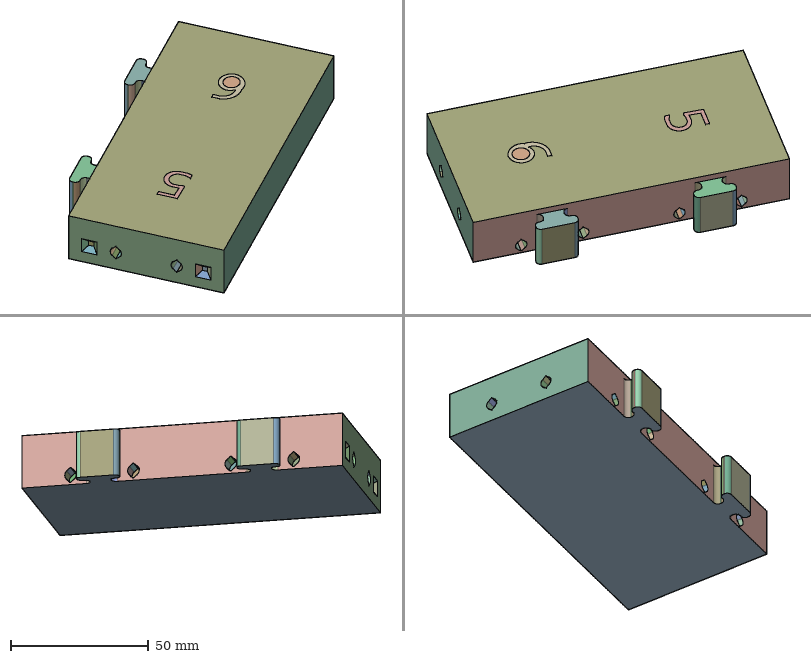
import cadquery as cq
import math

TILE_LENGTH = 120.0
TILE_WIDTH = TILE_LENGTH / 2
TILE_HEIGHT = TILE_LENGTH / 6
LEFT_FACE = -TILE_WIDTH / 2
FRONT_FACE = -TILE_LENGTH / 2
STATION = TILE_LENGTH / 4

CONNECTOR_REACH = TILE_LENGTH / 15
CONNECTOR_HEIGHT = 17.5
HEAD_HALF_WIDTH = CONNECTOR_REACH
HEAD_THICKNESS = CONNECTOR_REACH / 2
CORNER_RADIUS = 1.8
NECK_HALF_WIDTH = HEAD_HALF_WIDTH / 2

HOLE_RADIUS = 2.2
HOLE_PEAK = 2.9
HOLE_SPACING = 11.8
THROUGH_HOLE_Z = 7.7
BLIND_HOLE_Z = 3.7
BLIND_HOLE_DEPTH = 7.2

POCKET_MOUTH = 6.0
POCKET_FLOOR = POCKET_MOUTH / 3
POCKET_DEPTH = (POCKET_MOUTH - POCKET_FLOOR) / 2
POCKET_OFFSET = 22.0

INLAY_DEPTH = 1.0
DIGIT_SHIFT = 0.2


def rounded_post(length, width):
    """Post as tall as a connector, centred on the Z axis, with rounded upright corners."""
    post = cq.Workplane("XY").rect(length, width).extrude(CONNECTOR_HEIGHT)
    return post.edges("|Z").fillet(CORNER_RADIUS)


def connector(y_middle):
    """Wide head with rounded corners on a neck that has a rounded notch on each side."""
    neck_length = CONNECTOR_REACH - HEAD_THICKNESS
    notch_width = HEAD_HALF_WIDTH - NECK_HALF_WIDTH
    notch_middle = (HEAD_HALF_WIDTH + NECK_HALF_WIDTH) / 2
    head = rounded_post(HEAD_THICKNESS, 2 * HEAD_HALF_WIDTH)
    head = head.translate((-neck_length - HEAD_THICKNESS / 2, 0, 0))
    neck = cq.Workplane("XY").rect(neck_length, 2 * notch_middle).extrude(CONNECTOR_HEIGHT)
    for side in (-1, 1):
        neck = neck.cut(rounded_post(neck_length, notch_width).translate((0, side * notch_middle, 0)))
    neck = neck.translate((-neck_length / 2, 0, 0))
    return head.union(neck).translate((LEFT_FACE, y_middle, 0))


def peaked_hole(plane, length):
    """Cutter along the plane's normal: a circle with tangent flanks rising to a peak above and below."""
    tangent_height = HOLE_RADIUS**2 / HOLE_PEAK
    tangent_side = math.sqrt(HOLE_RADIUS**2 - tangent_height**2)
    return (
        cq.Workplane(plane)
        .moveTo(0, HOLE_PEAK)
        .lineTo(tangent_side, tangent_height)
        .threePointArc((HOLE_RADIUS, 0), (tangent_side, -tangent_height))
        .lineTo(0, -HOLE_PEAK)
        .lineTo(-tangent_side, -tangent_height)
        .threePointArc((-HOLE_RADIUS, 0), (-tangent_side, tangent_height))
        .close()
        .extrude(length)
    )


def through_hole(x):
    return peaked_hole("XZ", -TILE_LENGTH).translate((x, FRONT_FACE, THROUGH_HOLE_Z))


def blind_hole(y):
    return peaked_hole("YZ", BLIND_HOLE_DEPTH).translate((LEFT_FACE, y, BLIND_HOLE_Z))


def front_pocket(x):
    """Cutter narrowing from a square mouth to a smaller square floor."""
    return (
        cq.Workplane("XZ")
        .rect(POCKET_MOUTH, POCKET_MOUTH)
        .workplane(offset=-POCKET_DEPTH)
        .rect(POCKET_FLOOR, POCKET_FLOOR)
        .loft()
        .translate((x, FRONT_FACE, THROUGH_HOLE_Z))
    )


def digit_six():
    """Upright 6, centred on the origin."""
    body = (
        cq.Workplane("XY")
        .moveTo(4.0, 7.7)
        .lineTo(0.8, 7.7)
        .threePointArc((-3.4, 5.4), (-4.9, 0))
        .threePointArc((-3.7, -5.8), (-0.2, -7.7))
        .threePointArc((4.8, -2.8), (0.6, 2.0))
        .threePointArc((-1.2, 1.8), (-2.8, 0.8))
        .threePointArc((-1.5, 4.7), (1.5, 6.1))
        .lineTo(4.0, 6.1)
        .close()
        .extrude(INLAY_DEPTH)
    )
    counter = cq.Workplane("XY").center(0, -2.9).ellipse(3.1, 3.2).extrude(INLAY_DEPTH)
    return body.cut(counter)


def digit_five():
    """Upright 5, centred on the origin."""
    return (
        cq.Workplane("XY")
        .moveTo(3.8, 7.5)
        .lineTo(-4.0, 7.5)
        .lineTo(-4.2, 0.1)
        .lineTo(-3.4, -0.2)
        .lineTo(-1.8, 0.1)
        .lineTo(0.4, 0.1)
        .threePointArc((2.8, -3.0), (0.1, -6.0))
        .lineTo(-2.4, -6.0)
        .lineTo(-4.5, -5.2)
        .lineTo(-4.5, -7.0)
        .lineTo(-3.1, -7.5)
        .lineTo(0.6, -7.5)
        .threePointArc((4.7, -2.8), (0.4, 1.7))
        .lineTo(-2.5, 1.7)
        .lineTo(-2.3, 6.0)
        .lineTo(3.8, 6.0)
        .close()
        .extrude(INLAY_DEPTH)
    )


def inlaid(digit, y_station):
    """Turn a digit to read from the far side and sink it flush with the top face."""
    turned = digit.rotate((0, 0, 0), (0, 0, 1), 180)
    return turned.translate((0, y_station + DIGIT_SHIFT, TILE_HEIGHT - INLAY_DEPTH))


inlay_six = inlaid(digit_six(), STATION)
inlay_five = inlaid(digit_five(), -STATION)

tile = cq.Workplane("XY").box(TILE_WIDTH, TILE_LENGTH, TILE_HEIGHT, centered=(True, True, False))
for y_station in (-STATION, STATION):
    tile = tile.union(connector(y_station))
    for side in (-1, 1):
        tile = tile.cut(blind_hole(y_station + side * HOLE_SPACING))
for side in (-1, 1):
    tile = tile.cut(through_hole(side * HOLE_SPACING))
    tile = tile.cut(front_pocket(side * POCKET_OFFSET))
for inlay in (inlay_six, inlay_five):
    tile = tile.cut(inlay)

result = cq.Compound.makeCompound([tile.val(), inlay_six.val(), inlay_five.val()])